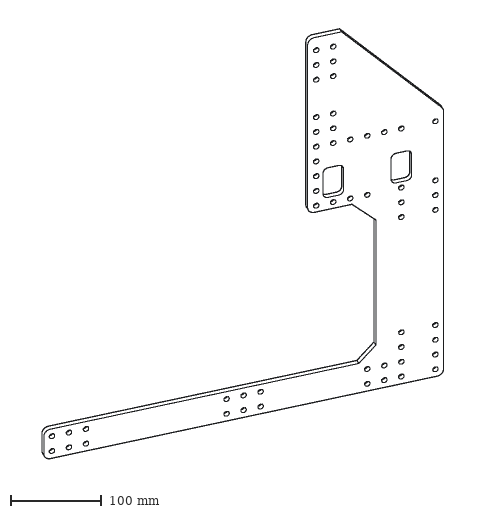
import cadquery as cq

THICKNESS = 6.3
LENGTH = 469.83
HEIGHT = 494.5

COLUMN_WIDTH = 79.75
ARM_HEIGHT = 40.0
HEAD_WIDTH = 159.75
HEAD_BOTTOM = 257.5
HEAD_TOP_FLAT_START = 120.0
SLOPE_START_HEIGHT = 360.5
UPPER_GUSSET = 28.0
LOWER_GUSSET = 20.0
CORNER_RADIUS = 8.0

HOLE_DIAMETER = 6.2
PITCH = 20.0

WINDOW_WIDTH = 24.0
WINDOW_HEIGHT = 40.0
WINDOW_RADIUS = 6.0
WINDOW_MID_HEIGHT = 294.0

REAR_COLUMN = 9.7
SECOND_COLUMN = REAR_COLUMN + 2 * PITCH
HEAD_FRONT_COLUMN = REAR_COLUMN + 7 * PITCH
HEAD_INNER_COLUMN = HEAD_FRONT_COLUMN - PITCH
ARM_MID_COLUMN = 215.0
ARM_TIP_COLUMN = 420.1
BOTTOM_ROW = 9.85
COLUMN_TOP_ROW = 226.0
HEAD_LOW_ROW = COLUMN_TOP_ROW + 2 * PITCH
HEAD_MID_ROW = HEAD_LOW_ROW + 4 * PITCH
HEAD_TOP_ROW = 436.7

PLATE_PLANE = cq.Plane(
    origin=(THICKNESS / 2, LENGTH / 2, -HEIGHT / 2),
    xDir=(0, -1, 0),
    normal=(-1, 0, 0),
)


def grid(first_column, columns, first_row, rows):
    """Hole centres on a square grid of one pitch."""
    return [
        (first_column + i * PITCH, first_row + j * PITCH)
        for i in range(columns)
        for j in range(rows)
    ]


def make_plate():
    """Flat plate lying in a sketch of (distance from rear edge, height)."""
    outline = [
        (0, 0),
        (LENGTH, 0),
        (LENGTH, ARM_HEIGHT),
        (COLUMN_WIDTH + LOWER_GUSSET, ARM_HEIGHT),
        (COLUMN_WIDTH, ARM_HEIGHT + LOWER_GUSSET),
        (COLUMN_WIDTH, HEAD_BOTTOM - UPPER_GUSSET),
        (COLUMN_WIDTH + UPPER_GUSSET, HEAD_BOTTOM),
        (HEAD_WIDTH, HEAD_BOTTOM),
        (HEAD_WIDTH, HEIGHT),
        (HEAD_TOP_FLAT_START, HEIGHT),
        (0, SLOPE_START_HEIGHT),
    ]
    rounded_corners = [
        (0, 0),
        (LENGTH, 0),
        (LENGTH, ARM_HEIGHT),
        (HEAD_WIDTH, HEAD_BOTTOM),
        (HEAD_WIDTH, HEIGHT),
        (0, SLOPE_START_HEIGHT),
    ]
    plate = cq.Workplane(PLATE_PLANE).polyline(outline).close().extrude(THICKNESS)
    for distance, height in rounded_corners:
        corner = PLATE_PLANE.toWorldCoords((distance, height, THICKNESS / 2)).toTuple()
        nearest = cq.selectors.NearestToPointSelector(corner)
        plate = plate.edges("|X").edges(nearest).fillet(CORNER_RADIUS)
    return plate


def make_bolt_holes():
    """Cutters for every bolt hole."""
    centres = (
        grid(REAR_COLUMN, 1, BOTTOM_ROW, 4)
        + grid(SECOND_COLUMN, 1, BOTTOM_ROW, 4)
        + grid(SECOND_COLUMN + PITCH, 2, BOTTOM_ROW, 2)
        + grid(ARM_MID_COLUMN, 3, BOTTOM_ROW, 2)
        + grid(ARM_TIP_COLUMN, 3, BOTTOM_ROW, 2)
        + grid(REAR_COLUMN, 1, COLUMN_TOP_ROW, 3)
        + grid(SECOND_COLUMN, 1, COLUMN_TOP_ROW, 3)
        + grid(SECOND_COLUMN + 2 * PITCH, 3, HEAD_LOW_ROW, 1)
        + grid(REAR_COLUMN, 1, HEAD_MID_ROW, 1)
        + grid(SECOND_COLUMN, 4, HEAD_MID_ROW, 1)
        + grid(HEAD_INNER_COLUMN, 1, HEAD_MID_ROW, 3)
        + grid(HEAD_INNER_COLUMN, 2, HEAD_TOP_ROW, 3)
        + grid(HEAD_FRONT_COLUMN, 1, HEAD_LOW_ROW, 7)
    )
    sketch = cq.Workplane(PLATE_PLANE).pushPoints(centres).circle(HOLE_DIAMETER / 2)
    return sketch.extrude(THICKNESS)


def make_windows():
    """Cutters for the two rounded windows, each centred on a hole column."""
    centres = [
        (SECOND_COLUMN, WINDOW_MID_HEIGHT),
        (HEAD_INNER_COLUMN, WINDOW_MID_HEIGHT),
    ]
    sketch = cq.Workplane(PLATE_PLANE).pushPoints(centres).rect(WINDOW_WIDTH, WINDOW_HEIGHT)
    return sketch.extrude(THICKNESS).edges("|X").fillet(WINDOW_RADIUS)


result = make_plate().cut(make_bolt_holes()).cut(make_windows())